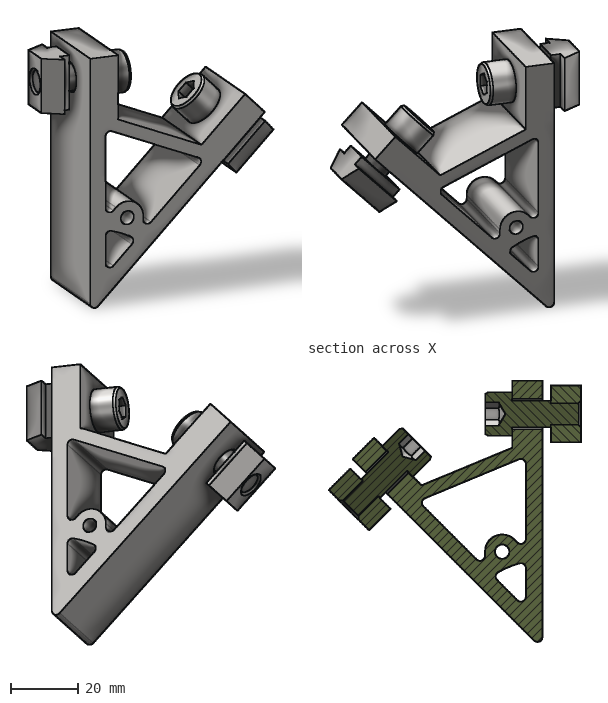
import cadquery as cq
import math

WIDTH = 30.0
OVERALL_HEIGHT = 77.9
ARM_ANGLE = 45.0
CORNER_RADIUS = 1.5
PAD_LENGTH = 20.0
PAD_THICKNESS = 9.0
WALL = 5.0
BRACE_THICKNESS = 4.0
BOSS_HOLE_DIAMETER = 4.2
BOSS_RADIUS = 5.15
BOSS_DISTANCE = 31.4

SCREW_INSET = 10.0
SHANK_DIAMETER = 8.0
CLEARANCE_DIAMETER = 9.0
HEAD_DIAMETER = 13.0
HEAD_HEIGHT = 8.0
HEAD_CHAMFER_HEIGHT = 0.8
HEAD_CHAMFER_WIDTH = 0.5
SOCKET_ACROSS_FLATS = 6.0
SOCKET_DEPTH = 4.0
SOCKET_POINT_ANGLE = 120.0
TIP_DIAMETER = 6.6

NUT_GAP = 2.5
NUT_LENGTH = 17.0
NUT_WIDTH = 17.0
NECK_WIDTH = 9.7
NECK_HEIGHT = 3.0
NUT_BODY_HEIGHT = 6.0

HALF_ANGLE = math.radians(ARM_ANGLE / 2)
TIP_LOSS = CORNER_RADIUS * (1 / math.tan(HALF_ANGLE) - 1)
ARM_LENGTH = OVERALL_HEIGHT + TIP_LOSS
PAD_START = ARM_LENGTH - PAD_LENGTH
SCREW_POSITION = ARM_LENGTH - SCREW_INSET
NUT_HEIGHT = NECK_HEIGHT + NUT_BODY_HEIGHT
COUNTERSINK_DEPTH = (SHANK_DIAMETER - TIP_DIAMETER) / 2

SHARP_CORNER = cq.Vector(0, 0, -TIP_LOSS)
PROFILE_PLANE = cq.Plane(SHARP_CORNER, xDir=(0, 1, 0), normal=(1, 0, 0))


def upright(along, depth):
    """Profile point on the upright arm: distance from the corner, depth from its outer face."""
    return (depth, along)


def mirrored(point):
    """Reflect a profile point across the bisector, onto the inclined arm."""
    y, z = point
    turn = math.radians(ARM_ANGLE)
    return (y * -math.cos(turn) + z * math.sin(turn), y * math.sin(turn) + z * math.cos(turn))


def on_bisector(distance):
    """Profile point on the bisector of the arms."""
    return (distance * math.sin(HALF_ANGLE), distance * math.cos(HALF_ANGLE))


def prism(sketch):
    """Extrude a closed profile through the full width, centred on X = 0."""
    return sketch.extrude(WIDTH / 2, both=True)


def profile():
    return cq.Workplane(PROFILE_PLANE)


def bracket_blank():
    end_outer = upright(ARM_LENGTH, 0)
    end_inner = upright(ARM_LENGTH, PAD_THICKNESS)
    pad_root = upright(PAD_START, PAD_THICKNESS)
    outline = [(0, 0), end_outer, end_inner, pad_root]
    outline += [mirrored(pad_root), mirrored(end_inner), mirrored(end_outer)]
    blank = prism(profile().polyline(outline).close())
    return blank.edges("<Z").fillet(CORNER_RADIUS)


def wall_triangle(far_edge):
    """Triangle inside both arm walls, closed by a line square to the bisector."""
    inner_corner = on_bisector(WALL / math.sin(HALF_ANGLE))
    reach = (far_edge - WALL * math.sin(HALF_ANGLE)) / math.cos(HALF_ANGLE)
    far_corner = upright(reach, WALL)
    return prism(profile().polyline([inner_corner, far_corner, mirrored(far_corner)]).close())


def boss_keepout():
    """Boss disc with flanks parallel to the arms, running down past the walls."""
    centre = on_bisector(BOSS_DISTANCE)
    flank_top = (centre[0] + BOSS_RADIUS, centre[1])
    flank_bottom = (flank_top[0], 0)
    outline = profile().moveTo(*flank_bottom).lineTo(*flank_top)
    outline = outline.threePointArc(on_bisector(BOSS_DISTANCE + BOSS_RADIUS), mirrored(flank_top))
    outline = outline.lineTo(*mirrored(flank_bottom))
    return prism(outline.close())


def upper_window():
    pad_root_y, pad_root_z = upright(PAD_START, PAD_THICKNESS)
    brace_top = pad_root_y * math.sin(HALF_ANGLE) + pad_root_z * math.cos(HALF_ANGLE)
    window = wall_triangle(brace_top - BRACE_THICKNESS).cut(boss_keepout())
    window = window.solids(">Z")
    boss_y, boss_z = on_bisector(BOSS_DISTANCE)
    boss_centre = cq.Vector(0, boss_y, boss_z) + SHARP_CORNER

    def is_corner(edge):
        """True away from the ends of the boss arc, which already meet the flanks smoothly."""
        return (edge.Center() - boss_centre).Length > BOSS_RADIUS + CORNER_RADIUS / 10

    return cq.Workplane(window.val()).edges("|X").filter(is_corner).fillet(CORNER_RADIUS)


def lower_window():
    """Triangle whose far side is an arc about the sharp corner of the arms."""
    far_radius = BOSS_DISTANCE - WALL
    disc = prism(profile().circle(far_radius))
    window = wall_triangle(BOSS_DISTANCE).intersect(disc)
    return window.edges("|X").fillet(CORNER_RADIUS)


def boss_hole():
    return prism(profile().center(*on_bisector(BOSS_DISTANCE)).circle(BOSS_HOLE_DIAMETER / 2))


def make_bracket(screw_planes):
    bracket = bracket_blank().cut(upper_window()).cut(lower_window()).cut(boss_hole())
    for plane in screw_planes:
        clearance = cq.Workplane(plane).circle(CLEARANCE_DIAMETER / 2).extrude(-PAD_THICKNESS)
        bracket = bracket.cut(clearance)
    return bracket


def screw_plane(face_point, outward):
    """Plane on an arm's outer face at the screw axis; its normal points away from the arm."""
    y, z = face_point
    out_y, out_z = outward
    origin = SHARP_CORNER + cq.Vector(0, y, z)
    return cq.Plane(origin, xDir=(1, 0, 0), normal=(0, out_y, out_z))


def hex_socket(top_plane):
    """Hexagonal socket with flats facing +-X and a conical floor."""
    corner_radius = SOCKET_ACROSS_FLATS / math.sqrt(3)
    cone_depth = corner_radius / math.tan(math.radians(SOCKET_POINT_ANGLE / 2))
    full_depth = SOCKET_DEPTH + cone_depth
    hexagon_plane = top_plane.transformed(rotate=(0, 0, 90))
    hexagon = hexagon_plane.polygon(6, 2 * corner_radius).extrude(-full_depth)
    drill_outline = [(0, 0), (corner_radius, 0), (corner_radius, -SOCKET_DEPTH), (0, -full_depth)]
    section_plane = top_plane.transformed(rotate=(90, 0, 0))
    drill = section_plane.polyline(drill_outline).close().revolve(360, (0, 0), (0, 1))
    return hexagon.intersect(drill)


def make_screw(plane):
    head_seat = cq.Workplane(plane).workplane(offset=-PAD_THICKNESS)
    head = head_seat.circle(HEAD_DIAMETER / 2).extrude(-HEAD_HEIGHT)
    head_end = cq.selectors.DirectionMinMaxSelector(plane.zDir, False)
    head = head.faces(head_end).chamfer(HEAD_CHAMFER_HEIGHT, HEAD_CHAMFER_WIDTH)
    shank = head_seat.circle(SHANK_DIAMETER / 2).extrude(PAD_THICKNESS + NUT_GAP)
    tip_start = cq.Workplane(plane).workplane(offset=NUT_GAP)
    tip = tip_start.circle(TIP_DIAMETER / 2).extrude(NUT_HEIGHT - COUNTERSINK_DEPTH)
    head_top = cq.Workplane(plane).workplane(offset=PAD_THICKNESS + HEAD_HEIGHT, invert=True)
    return head.union(shank).union(tip).cut(hex_socket(head_top))


def make_nut(plane):
    """T-nut: a neck towards the arm, then a wider body that tapers back to the neck width."""
    neck_half = NECK_WIDTH / 2
    body_half = NUT_WIDTH / 2
    right_side = [
        (neck_half, 0),
        (neck_half, NECK_HEIGHT),
        (body_half, NECK_HEIGHT),
        (neck_half, NUT_HEIGHT),
    ]
    left_side = [(-x, height) for x, height in reversed(right_side)]
    near_face = cq.Workplane(plane).workplane(offset=NUT_GAP)
    section_plane = near_face.transformed(rotate=(90, 0, 0))
    nut = section_plane.polyline(right_side + left_side).close().extrude(NUT_LENGTH / 2, both=True)
    bore = near_face.circle(TIP_DIAMETER / 2).extrude(NUT_HEIGHT)
    far_face = near_face.workplane(offset=NUT_HEIGHT)
    countersink = (
        far_face.circle(SHANK_DIAMETER / 2)
        .workplane(offset=-COUNTERSINK_DEPTH)
        .circle(TIP_DIAMETER / 2)
        .loft()
    )
    return nut.cut(bore).cut(countersink)


screw_point = upright(SCREW_POSITION, 0)
outward_direction = (-1, 0)
screw_planes = [
    screw_plane(screw_point, outward_direction),
    screw_plane(mirrored(screw_point), mirrored(outward_direction)),
]

bracket = make_bracket(screw_planes)
screws = [make_screw(plane) for plane in screw_planes]
nuts = [make_nut(plane) for plane in screw_planes]

result = cq.Compound.makeCompound([body.val() for body in [bracket, *screws, *nuts]])